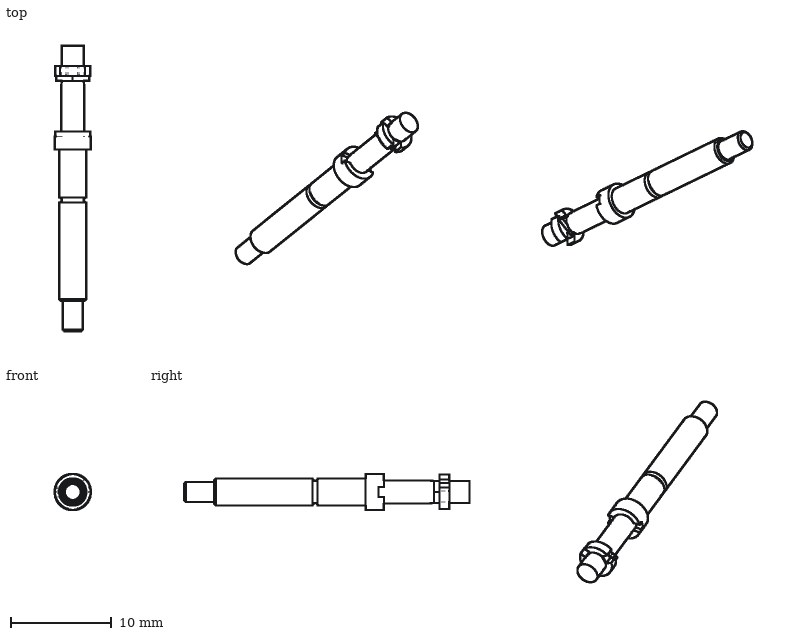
import cadquery as cq
import math


TAIL_END = 10.3
FLANGE_BACK = TAIL_END - 2.0
FLANGE_FRONT = FLANGE_BACK - 1.0
PLATE_FRONT = FLANGE_FRONT - 0.5
SLEEVE_BACK = PLATE_FRONT - 0.45
COLLAR_BACK = 1.8
COLLAR_FRONT = 0.0
GROOVE_CENTER = -5.0
BARREL_END = -15.0
TIP_END = BARREL_END - 3.0

TAIL_RADIUS = 1.1
FLANGE_RADIUS = 1.75
SLEEVE_RADIUS = 1.15
COLLAR_RADIUS = 1.8
BARREL_RADIUS = 1.35
TIP_RADIUS = 1.0

END_CHAMFER = 0.2
GROOVE_RADIUS = 0.25

NOTCH_COUNT = 3
NOTCH_WIDTH = 0.9
NOTCH_FLOOR = math.sqrt(TAIL_RADIUS**2 - (NOTCH_WIDTH / 2) ** 2)
FIRST_NOTCH_ANGLE = 30.0

PLATE_HALF_WIDTH = 1.65
PLATE_HALF_HEIGHT = TAIL_RADIUS

SLOT_WIDTH = 0.95
SLOT_DEPTH = 0.5


def cylinder(radius, y_start, y_end):
    """Cylinder around the Y axis between two places on the axis."""
    return cq.Workplane("XZ", origin=(0, y_end, 0)).circle(radius).extrude(y_end - y_start)


def turned_body():
    """Solid of revolution from the tip to the front of the plate."""
    profile = (
        cq.Workplane("XY")
        .moveTo(0, PLATE_FRONT)
        .lineTo(TAIL_RADIUS, PLATE_FRONT)
        .lineTo(SLEEVE_RADIUS, SLEEVE_BACK)
        .lineTo(SLEEVE_RADIUS, COLLAR_BACK)
        .lineTo(COLLAR_RADIUS, COLLAR_BACK)
        .lineTo(COLLAR_RADIUS, COLLAR_FRONT)
        .lineTo(BARREL_RADIUS, COLLAR_FRONT)
        .lineTo(BARREL_RADIUS, GROOVE_CENTER + GROOVE_RADIUS)
        .threePointArc(
            (BARREL_RADIUS - GROOVE_RADIUS, GROOVE_CENTER),
            (BARREL_RADIUS, GROOVE_CENTER - GROOVE_RADIUS),
        )
        .lineTo(BARREL_RADIUS, BARREL_END + END_CHAMFER)
        .lineTo(BARREL_RADIUS - END_CHAMFER, BARREL_END)
        .lineTo(TIP_RADIUS, BARREL_END)
        .lineTo(TIP_RADIUS, TIP_END + END_CHAMFER)
        .lineTo(TIP_RADIUS - END_CHAMFER, TIP_END)
        .lineTo(0, TIP_END)
        .close()
    )
    return profile.revolve(360, (0, 0, 0), (0, 1, 0))


def notched_flange():
    """Round flange with evenly spaced, parallel-sided notches in its rim."""
    thickness = FLANGE_BACK - FLANGE_FRONT
    flange = cylinder(FLANGE_RADIUS, FLANGE_FRONT, FLANGE_BACK)
    notch_bar = cq.Workplane("XY").box(
        FLANGE_RADIUS, thickness, NOTCH_WIDTH, centered=(False, False, True)
    ).translate((NOTCH_FLOOR, FLANGE_FRONT, 0))
    for index in range(NOTCH_COUNT):
        angle = FIRST_NOTCH_ANGLE + index * 360 / NOTCH_COUNT
        flange = flange.cut(notch_bar.rotate((0, 0, 0), (0, 1, 0), -angle))
    return flange


def rhombic_plate():
    """Thin rhombus whose long diagonal lies along X."""
    return (
        cq.Workplane("XZ", origin=(0, FLANGE_FRONT, 0))
        .polyline([
            (PLATE_HALF_WIDTH, 0),
            (0, PLATE_HALF_HEIGHT),
            (-PLATE_HALF_WIDTH, 0),
            (0, -PLATE_HALF_HEIGHT),
        ])
        .close()
        .extrude(FLANGE_FRONT - PLATE_FRONT)
    )


def collar_slot():
    """Cutter for the slot along X, leaving the sleeve in its middle untouched."""
    slot_floor = COLLAR_BACK - SLOT_DEPTH
    bar = cq.Workplane("XY").box(
        2 * COLLAR_RADIUS, SLOT_DEPTH, SLOT_WIDTH, centered=(True, False, True)
    ).translate((0, slot_floor, 0))
    return bar.cut(cylinder(SLEEVE_RADIUS, slot_floor, COLLAR_BACK))


result = (
    turned_body()
    .cut(collar_slot())
    .union(rhombic_plate())
    .union(notched_flange())
    .union(cylinder(TAIL_RADIUS, FLANGE_BACK, TAIL_END))
)